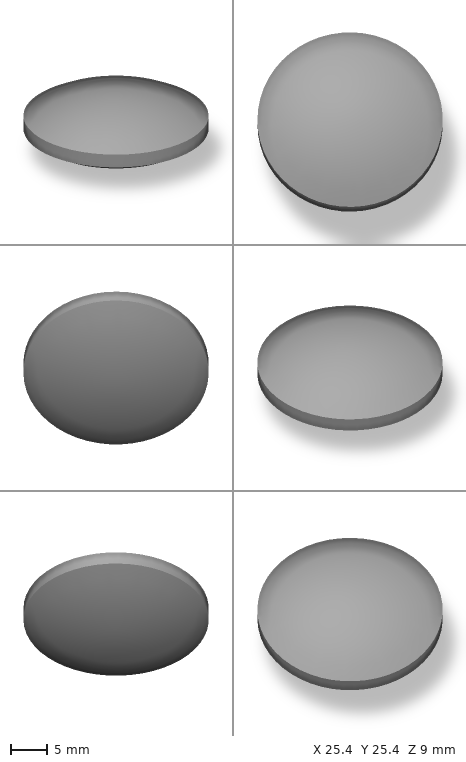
import cadquery as cq

diameter = 25.4
center_thickness = 9.0
edge_thickness = 1.93

radius = diameter / 2
half_center = center_thickness / 2
half_edge = edge_thickness / 2
cap_height = half_center - half_edge
sphere_radius = (radius**2 + cap_height**2) / (2 * cap_height)

half_section = (
    cq.Workplane("XZ")
    .moveTo(0, -half_center)
    .radiusArc((radius, -half_edge), -sphere_radius)
    .lineTo(radius, half_edge)
    .radiusArc((0, half_center), -sphere_radius)
    .close()
)

result = half_section.revolve(360, (0, 0, 0), (0, 1, 0))